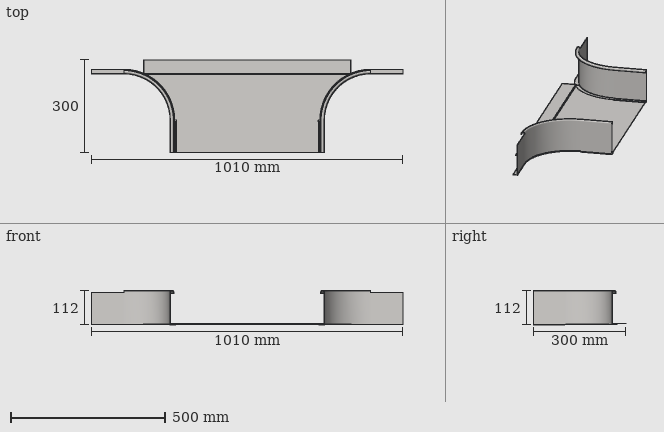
import cadquery as cq

overall_length = 1010.0
overall_depth = 300.0
overall_height = 112.01
tray_width = 500.0
end_length = 105.0
bend_radius = 150.0
sheet = 1.3

flange_width = 15.0
lip_radius = 6.0
lip_leg = 3.0

lap_clearance = 0.01
edge_clearance = 1.0
joggle_run = 3.0
joggle_gap = 2.0
relief_length = 5.0
tongue_width = 672.0
tongue_rise = 1.75
tongue_length = 44.5

half_length = overall_length / 2
half_width = tray_width / 2
bend_x = half_width + bend_radius
bend_y = end_length
back_y = end_length + bend_radius
side_height = overall_height - sheet - lap_clearance
web_height = side_height - lip_radius
lip_x = half_width - lip_radius
floor_z = sheet
tongue_slope_y = overall_depth - tongue_length - joggle_run
strip_slope_x = half_width - flange_width - joggle_gap - joggle_run
strip_drop = 2 * sheet + lap_clearance


def wall_band(depth, height):
    """Upright band along the whole wall path, reaching inward by depth from its outer face."""
    inner_x = half_width - depth
    inner_y = back_y + depth
    return (
        cq.Workplane("XY")
        .moveTo(half_width, 0)
        .lineTo(half_width, bend_y)
        .radiusArc((bend_x, back_y), bend_radius)
        .lineTo(half_length, back_y)
        .lineTo(half_length, inner_y)
        .lineTo(bend_x, inner_y)
        .radiusArc((inner_x, bend_y), -(bend_radius + depth))
        .lineTo(inner_x, 0)
        .close()
        .extrude(height)
    )


def lip_section(y):
    """Hook-shaped section of the rolled lip, in the XZ plane at depth y."""
    inner_radius = lip_radius - sheet
    return (
        cq.Workplane("XZ", origin=(lip_x, y, web_height))
        .moveTo(lip_radius, 0)
        .threePointArc((0, lip_radius), (-lip_radius, 0))
        .lineTo(-lip_radius, -lip_leg)
        .lineTo(-inner_radius, -lip_leg)
        .lineTo(-inner_radius, 0)
        .threePointArc((0, inner_radius), (inner_radius, 0))
        .close()
    )


def make_lip():
    """Rolled lip along the front straight and the bend; the back straight has none."""
    straight = lip_section(0).extrude(-end_length)
    axis_x = bend_x - lip_x
    curved = lip_section(bend_y).revolve(90, (axis_x, 0, 0), (axis_x, -1, 0))
    return straight.union(curved)


def make_side_wall():
    """Right-hand side wall: web, bottom flange and rolled lip."""
    web = wall_band(sheet, web_height)
    flange = wall_band(flange_width, sheet)
    return web.union(flange).union(make_lip())


def joggled_strip(plane, origin, reach, rise):
    """Section of a strip that slopes by rise from its origin, then runs flat out to reach."""
    return (
        cq.Workplane(plane, origin=origin)
        .polyline([
            (0, 0),
            (joggle_run, rise),
            (reach, rise),
            (reach, rise + sheet),
            (joggle_run, rise + sheet),
            (0, sheet),
        ])
        .close()
    )


def make_floor():
    """Flat sheet resting on the flanges, trimmed around the bends and stepped in at the front."""
    floor = (
        cq.Workplane("XY", origin=(0, tongue_slope_y / 2, floor_z))
        .rect(tongue_width, tongue_slope_y)
        .extrude(sheet)
    )
    bends = (
        cq.Workplane("XY", origin=(0, 0, floor_z))
        .pushPoints([(-bend_x, bend_y), (bend_x, bend_y)])
        .circle(bend_radius + sheet + edge_clearance)
        .extrude(sheet)
    )
    notch_width = bend_x - strip_slope_x
    notch_x = (bend_x + strip_slope_x) / 2
    notches = (
        cq.Workplane("XY", origin=(0, end_length / 2, floor_z))
        .pushPoints([(-notch_x, 0), (notch_x, 0)])
        .rect(notch_width, end_length)
        .extrude(sheet)
    )
    return floor.cut(bends).cut(notches)


def make_tongue():
    """Raised tongue along the back edge of the base."""
    origin = (-tongue_width / 2, tongue_slope_y, floor_z)
    reach = overall_depth - tongue_slope_y
    return joggled_strip("YZ", origin, reach, tongue_rise).extrude(tongue_width)


def make_front_strip():
    """Right-hand strip that drops from the floor and runs under the wall flange."""
    origin = (strip_slope_x, 0, floor_z)
    reach = half_width - strip_slope_x
    return joggled_strip("XZ", origin, reach, -strip_drop).extrude(relief_length - end_length)


def make_base():
    """Base sheet: floor, back tongue and a lowered strip at each front side."""
    strip = make_front_strip()
    return make_floor().union(make_tongue()).union(strip).union(strip.mirror("YZ"))


base = make_base()
right_wall = make_side_wall()
left_wall = right_wall.mirror("YZ")
result = cq.Compound.makeCompound([base.val(), right_wall.val(), left_wall.val()])